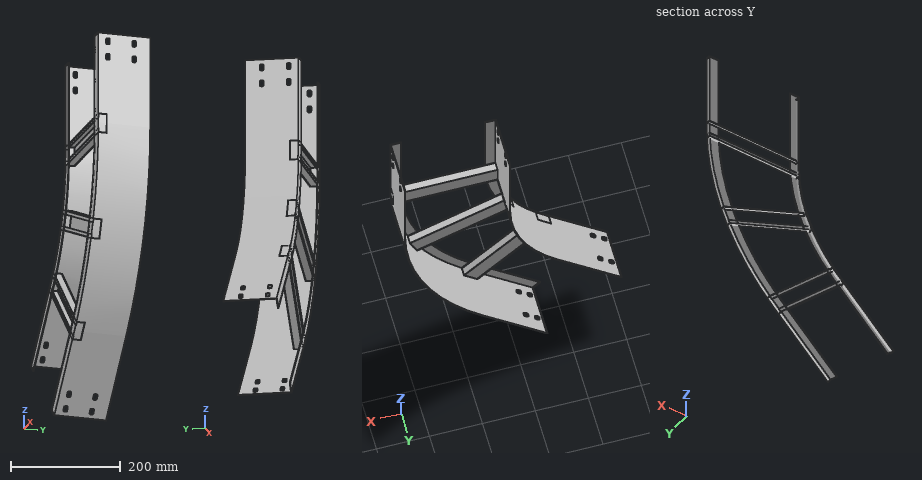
import cadquery as cq
import math

total_height = 649.0
rail_depth = 100.0

bend_angle = 45.0
inner_radius = 300.0
rail_spacing = 200.0
outer_radius = inner_radius + rail_spacing
bend_height = outer_radius * math.sin(math.radians(bend_angle))
straight_length = (total_height - bend_height) / (1 + math.cos(math.radians(bend_angle)))

rail_sheet = 1.5
flange_width = 21.0

slot_length = 12.0
slot_width = 7.0
slot_end_distances = (15.0, 45.0)
slot_back_distances = (30.5, 80.5)

rung_width = 36.5
rung_depth = 16.0
rung_lip = 7.0
rung_sheet = 0.8
rung_angles = (0, bend_angle / 2, bend_angle)


def turned(shape, angle):
    """Turn a shape about the bend axis, from the upright end towards the lower end."""
    return shape.rotate((0, 0, 0), (0, 1, 0), angle)


def rail_section(web_radius, side):
    """L-section with a rounded outer corner; the flange points to +X or -X by side."""
    round_in = rail_sheet * (1 - math.sqrt(0.5))
    return (
        cq.Workplane("XY")
        .moveTo(web_radius, rail_depth)
        .lineTo(web_radius, rail_sheet)
        .threePointArc(
            (web_radius + side * round_in, round_in),
            (web_radius + side * rail_sheet, 0),
        )
        .lineTo(web_radius + side * flange_width, 0)
        .lineTo(web_radius + side * flange_width, rail_sheet)
        .lineTo(web_radius + side * rail_sheet, rail_sheet)
        .lineTo(web_radius + side * rail_sheet, rail_depth)
        .close()
    )


def end_slots(web_radius):
    """Slots through the web of the upright straight end."""
    positions = [
        (rail_depth - back, straight_length - end)
        for back in slot_back_distances
        for end in slot_end_distances
    ]
    return (
        cq.Workplane("YZ", origin=(web_radius, 0, 0))
        .pushPoints(positions)
        .slot2D(slot_length, slot_width, 90)
        .extrude(2 * rail_sheet, both=True)
    )


def rail(web_radius, side):
    """Straight end, bend and second straight end, with the outer web face at web_radius."""
    upright = rail_section(web_radius, side).extrude(straight_length).cut(end_slots(web_radius))
    bend = rail_section(web_radius, side).revolve(bend_angle, (0, 0), (0, 1))
    lower = turned(upright.mirror("XY"), bend_angle)
    return upright.union(bend).union(lower)


def rung():
    """Rung at the start of the bend, its ends set in the middle of the two webs."""
    length = rail_spacing - rail_sheet
    start = cq.Workplane("YZ", origin=(inner_radius + rail_sheet / 2, 0, 0))
    middle = start.center(rail_sheet + rung_depth / 2, 0)
    block = middle.rect(rung_depth, rung_width).extrude(length)
    hollow = middle.rect(rung_depth - 2 * rung_sheet, rung_width - 2 * rung_sheet).extrude(length)
    mouth = start.center(rail_sheet, 0).rect(2 * rung_sheet, rung_width - 2 * rung_lip).extrude(length)
    return block.cut(hollow).cut(mouth)


result = rail(inner_radius, 1).union(rail(outer_radius, -1))
for rung_angle in rung_angles:
    result = result.union(turned(rung(), rung_angle))